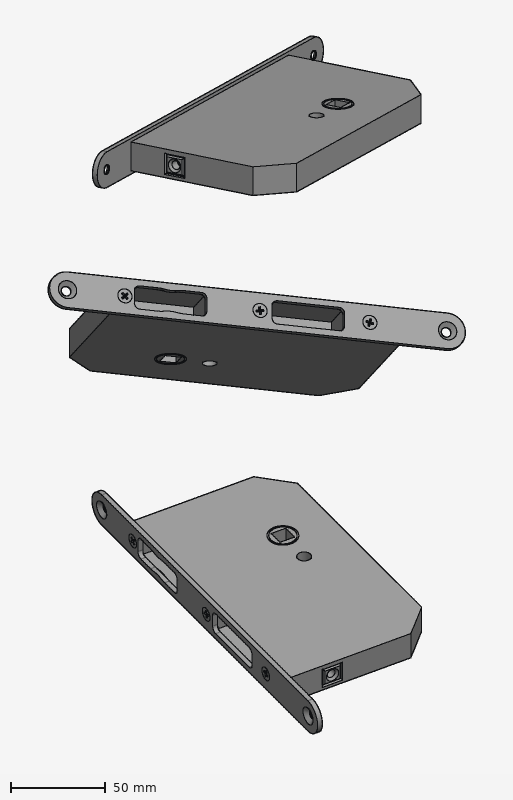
import cadquery as cq

plate_length = 230.0
plate_width = 20.0
plate_thickness = 3.0
mount_hole_y = 105.0
mount_hole_diameter = 5.3
mount_sink_diameter = 10.1
countersink_angle = 90.0

opening_length = 40.0
opening_width = 13.0
opening_corner_radius = 3.0
pocket_depth = 20.0
latch_opening_y = 48.0
bolt_opening_y = -28.0
waist_half_length = 7.1
waist_depth = 0.7

lock_depth = 95.0
case_length = 160.0
case_thickness = 16.0
case_center_y = -0.7
case_corner_chamfer = 16.8
cylinder_hole_x = 64.9
cylinder_hole_y = 6.0
cylinder_hole_diameter = 7.8

hub_x = cylinder_hole_x
hub_y = 27.5
hub_diameter = 16.8
hub_collar_diameter = 15.0
hub_collar_height = 0.2
hub_square = 9.0

screw_places = [(73.4, 45.0), (-1.4, -10.0), (-62.0, 15.0)]
screw_head_diameter = 7.8
screw_shank_diameter = 3.7
screw_shank_length = 9.2
cross_span = 4.1
cross_arm_width = 1.0
cross_depth = 1.4
cross_taper = 8.0

plug_x = 30.0
plug_z = -0.35
recess_length = 12.5
recess_width = 11.7
recess_depth = 1.8
plug_gap = 0.8
plug_length = recess_length - 2 * plug_gap
plug_width = recess_width - 2 * plug_gap
plug_chamfer = 0.8
plug_depth = 9.2
plug_hole_depth = 7.0
plug_hole_diameter = 4.8
plug_sink_diameter = 7.5

case_side_y = case_center_y - case_length / 2


def face_plane(x, y=0.0):
    """Plane across X at a point: local x runs along Y, local y along Z, the normal along +X."""
    return cq.Workplane(cq.Plane(origin=(x, y, 0), xDir=(0, 1, 0), normal=(1, 0, 0)))


def opening_slot(y):
    """Cutter for a faceplate slot with rounded corners."""
    slot = face_plane(0, y).rect(opening_length, opening_width).extrude(plate_thickness)
    return slot.edges("|X").fillet(opening_corner_radius)


def waist_bump(y, side):
    """Rib with an S-curved outline that narrows a slot from its upper (+1) or lower (-1) edge."""
    edge = side * opening_width / 2
    crest = edge - side * waist_depth
    middle = (edge + crest) / 2
    quarter = waist_half_length / 2
    return (
        face_plane(0, y)
        .moveTo(-waist_half_length, edge)
        .spline(
            [(-quarter, middle), (0, crest), (quarter, middle), (waist_half_length, edge)],
            tangents=[(1, 0), (1, 0)],
            includeCurrent=True,
        )
        .close()
        .extrude(plate_thickness)
    )


def make_screw_blank(y):
    """Countersunk head the thickness of the faceplate, and a shank that goes into the case."""
    head = (
        face_plane(0, y)
        .circle(screw_head_diameter / 2)
        .workplane(offset=plate_thickness)
        .circle(screw_shank_diameter / 2)
        .loft()
    )
    shank = face_plane(plate_thickness, y).circle(screw_shank_diameter / 2).extrude(screw_shank_length)
    return head.union(shank)


def make_screw(y, turn):
    screw = make_screw_blank(y)
    for arm_turn in (turn, turn + 90):
        arm = (
            face_plane(0, y)
            .transformed(rotate=(0, 0, arm_turn))
            .rect(cross_span, cross_arm_width)
            .extrude(cross_depth, taper=cross_taper)
        )
        screw = screw.cut(arm)
    return screw


def make_faceplate():
    plate = face_plane(0).slot2D(plate_length, plate_width).extrude(plate_thickness)
    latch_slot = opening_slot(latch_opening_y)
    for side in (1, -1):
        latch_slot = latch_slot.cut(waist_bump(latch_opening_y, side))
    plate = plate.cut(latch_slot).cut(opening_slot(bolt_opening_y))
    plate = (
        plate.faces("<X")
        .workplane(origin=(0, 0, 0))
        .pushPoints([(mount_hole_y, 0), (-mount_hole_y, 0)])
        .cskHole(mount_hole_diameter, mount_sink_diameter, countersink_angle)
    )
    for y, _ in screw_places:
        plate = plate.cut(make_screw_blank(y))
    return plate


def make_case():
    case = (
        cq.Workplane("XY")
        .box(lock_depth - plate_thickness, case_length, case_thickness, centered=(False, True, True))
        .translate((plate_thickness, case_center_y, 0))
        .edges("|Z and >X")
        .chamfer(case_corner_chamfer)
    )
    for y in (latch_opening_y, bolt_opening_y):
        pocket = face_plane(plate_thickness, y).rect(opening_length, opening_width).extrude(pocket_depth)
        case = case.cut(pocket)

    for x, y, diameter in (
        (hub_x, hub_y, hub_diameter),
        (cylinder_hole_x, cylinder_hole_y, cylinder_hole_diameter),
    ):
        bore = cq.Workplane("XY").center(x, y).circle(diameter / 2).extrude(case_thickness / 2, both=True)
        case = case.cut(bore)

    recess = cq.Workplane("XY").box(recess_length, recess_depth, recess_width, centered=(True, False, True))
    case = case.cut(recess.translate((plug_x, case_side_y, plug_z))).cut(plug_block())
    for y, _ in screw_places:
        case = case.cut(make_screw_blank(y))
    return case


def make_hub():
    """Round follower as thick as the case, with a square spindle hole and a narrower collar at each end."""
    barrel_height = case_thickness - 2 * hub_collar_height
    barrel = (
        cq.Workplane("XY")
        .center(hub_x, hub_y)
        .circle(hub_diameter / 2)
        .extrude(barrel_height / 2, both=True)
    )
    collar = (
        cq.Workplane("XY")
        .center(hub_x, hub_y)
        .circle(hub_collar_diameter / 2)
        .extrude(case_thickness / 2, both=True)
    )
    spindle_hole = (
        cq.Workplane("XY")
        .center(hub_x, hub_y)
        .rect(hub_square, hub_square)
        .extrude(case_thickness / 2, both=True)
    )
    return barrel.union(collar).cut(spindle_hole)


def plug_block():
    """Square block of the plug size, reaching inward from the -Y side of the case."""
    return (
        cq.Workplane("XY")
        .box(plug_length, plug_depth, plug_width, centered=(True, False, True))
        .translate((plug_x, case_side_y, plug_z))
    )


def make_plug():
    """Square plug flush with the side of the case, with a chamfered rim and a countersunk blind hole."""
    return (
        plug_block()
        .faces("<Y")
        .chamfer(plug_chamfer)
        .faces("<Y")
        .workplane(origin=(plug_x, case_side_y, plug_z))
        .cskHole(plug_hole_diameter, plug_sink_diameter, countersink_angle, depth=plug_hole_depth)
    )


faceplate = make_faceplate()
case = make_case()
hub = make_hub()
plug = make_plug()
screws = [make_screw(y, turn) for y, turn in screw_places]

result = cq.Compound.makeCompound(
    [faceplate.val(), case.val(), hub.val(), plug.val(), *[screw.val() for screw in screws]]
)